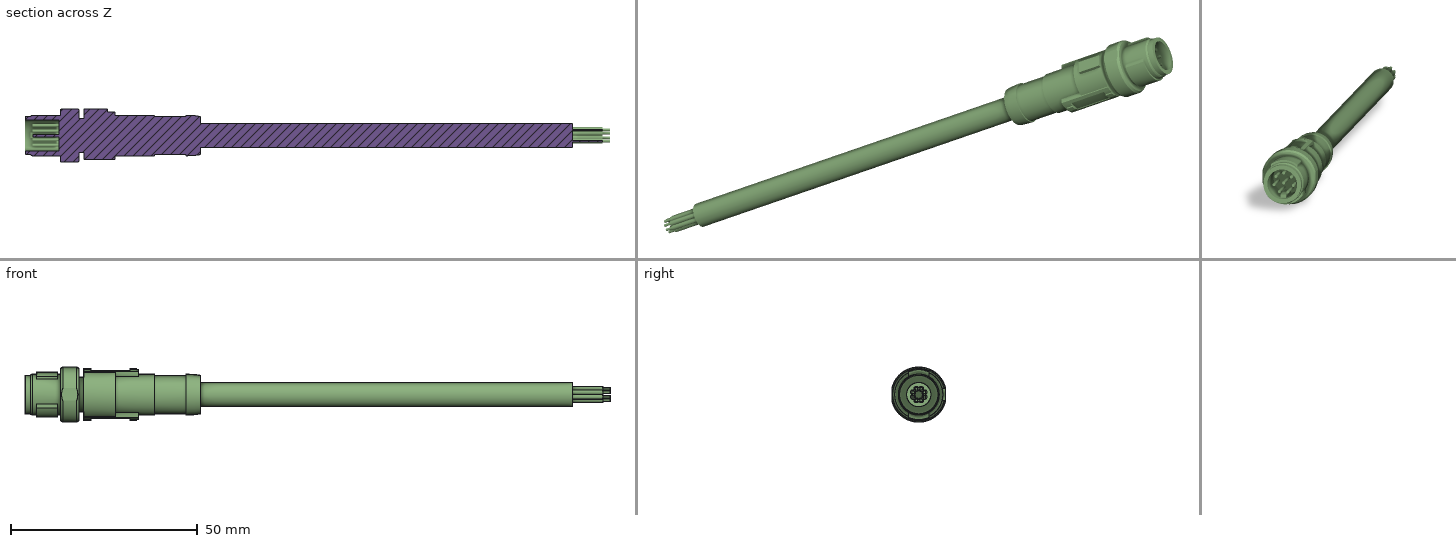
import cadquery as cq
import math


RIM_END = 1.5
PLUG_START = 2.0
COLLAR_START = 9.45
COLLAR_END = 14.45
SLEEVE_START = 15.7
SLEEVE_END = 24.2
BODY_END = 34.7
STRAIN_RING_START = 43.1
STRAIN_RING_END = 47.0
CABLE_END = 146.7
INSULATION_END = 154.75
CONDUCTOR_END = 156.8

RIM_RADIUS = 5.15
PLUG_CHAMFER_RADIUS = 5.3
PLUG_RADIUS = 5.5
COLLAR_RADIUS = 7.395
NECK_RADIUS = 4.65
SLEEVE_RADIUS = 6.45
BODY_RADIUS = 5.5
TAIL_RADIUS = 5.15
STRAIN_RING_RADIUS = 5.5
STRAIN_RING_CREST_RADIUS = 5.45
CABLE_RADIUS = 3.25

COLLAR_CHAMFER_LENGTH = 0.65
COLLAR_CHAMFER_HEIGHT = 0.4
COLLAR_FLAT_SPAN = 14.4

LUG_RADIUS = 6.05
LUG_START = 3.1
LUG_END = 8.7
TOP_LUG_HALF_WIDTH = 3.6
BOTTOM_LUG_HALF_WIDTH = 4.9

BORE_RADIUS = 4.05
BORE_DEPTH = 9.0
KEY_WIDTH = 1.5
KEY_INNER_RADIUS = 3.1
PIN_RADIUS = 0.4
PIN_TIP_X = 2.0
PIN_CIRCLE_RADIUS = 2.7
OUTER_PIN_COUNT = 7

LATCH_RADIUS = 6.7
LATCH_HALF_WIDTH = 2.7
LATCH_END = 30.4
POCKET_START = 17.6
POCKET_END = 28.1
POCKET_HALF_WIDTH = 1.75
POCKET_FLOOR = 6.2
BUMP_TOP = 7.0
BUMP_HALF_WIDTH = 0.75
FRONT_BUMP_END = POCKET_START
REAR_BUMP_END = 29.9

RAIL_TOP = 7.2
RAIL_END = 22.1
RAIL_HALF_WIDTH = 1.65

WIRE_COUNT = 8
WIRE_CIRCLE_RADIUS = 1.65
INSULATION_RADIUS = 0.66
CONDUCTOR_RADIUS = 0.35

OVERLAP = 0.5


def rod(start, end, radius, y=0.0, z=0.0):
    """Cylinder along X between two stations."""
    return cq.Workplane("YZ", origin=(start, y, z)).circle(radius).extrude(end - start)


def block(x_range, y_range, z_range):
    """Box given by its limits on each axis."""
    sizes = [high - low for low, high in (x_range, y_range, z_range)]
    corner = (x_range[0], y_range[0], z_range[0])
    return cq.Workplane("XY").box(*sizes, centered=False).translate(corner)


def turn_over(shape):
    """Copy of a top feature moved to the underside."""
    return shape.rotate((0, 0, 0), (1, 0, 0), 180)


def turned_body():
    shoulder = COLLAR_RADIUS - COLLAR_CHAMFER_HEIGHT
    front_outline = [
        (0, 0),
        (0, RIM_RADIUS),
        (RIM_END, RIM_RADIUS),
        (RIM_END, PLUG_CHAMFER_RADIUS),
        (PLUG_START, PLUG_RADIUS),
        (COLLAR_START, PLUG_RADIUS),
        (COLLAR_START, shoulder),
        (COLLAR_START + COLLAR_CHAMFER_LENGTH, COLLAR_RADIUS),
        (COLLAR_END - COLLAR_CHAMFER_LENGTH, COLLAR_RADIUS),
        (COLLAR_END, shoulder),
        (COLLAR_END, NECK_RADIUS),
        (SLEEVE_START, NECK_RADIUS),
        (SLEEVE_START, SLEEVE_RADIUS),
        (SLEEVE_END, SLEEVE_RADIUS),
        (SLEEVE_END, BODY_RADIUS),
        (BODY_END, BODY_RADIUS),
        (BODY_END, TAIL_RADIUS),
        (STRAIN_RING_START, TAIL_RADIUS),
        (STRAIN_RING_START, STRAIN_RING_RADIUS),
    ]
    ring_crest = ((STRAIN_RING_START + STRAIN_RING_END) / 2, STRAIN_RING_CREST_RADIUS)
    profile = (
        cq.Workplane("XY")
        .polyline(front_outline, includeCurrent=False)
        .threePointArc(ring_crest, (STRAIN_RING_END, TAIL_RADIUS))
        .lineTo(STRAIN_RING_END, CABLE_RADIUS)
        .lineTo(CABLE_END, CABLE_RADIUS)
        .lineTo(CABLE_END, 0)
        .close()
    )
    return profile.revolve(360, (0, 0, 0), (1, 0, 0))


def collar_flats():
    """Material outside the two side flats of the collar."""
    collar_x = (COLLAR_START, COLLAR_END)
    collar_z = (-COLLAR_RADIUS, COLLAR_RADIUS)
    half_span = COLLAR_FLAT_SPAN / 2
    side = block(collar_x, (half_span, COLLAR_RADIUS), collar_z)
    return side.union(turn_over(side))


def lug(half_width):
    """Arc-topped lug on the upper side of the plug."""
    envelope = block((LUG_START, LUG_END), (-half_width, half_width), (0, LUG_RADIUS))
    core = rod(LUG_START, LUG_END, PLUG_RADIUS - OVERLAP)
    return rod(LUG_START, LUG_END, LUG_RADIUS).intersect(envelope).cut(core)


def socket_key():
    key_z = (-(BORE_RADIUS + OVERLAP), -KEY_INNER_RADIUS)
    return block((RIM_END, BORE_DEPTH + OVERLAP), (-KEY_WIDTH / 2, KEY_WIDTH / 2), key_z)


def pins():
    root = BORE_DEPTH + OVERLAP
    group = rod(PIN_TIP_X, root, PIN_RADIUS)
    for index in range(OUTER_PIN_COUNT):
        angle = math.pi / 2 + 2 * math.pi * index / OUTER_PIN_COUNT
        y = PIN_CIRCLE_RADIUS * math.cos(angle)
        z = PIN_CIRCLE_RADIUS * math.sin(angle)
        group = group.union(rod(PIN_TIP_X, root, PIN_RADIUS, y, z))
    return group


def latch_key():
    """Upper latch key with its bumps, standing on the sleeve and body."""
    latch_x = (SLEEVE_START, LATCH_END)
    core = rod(SLEEVE_START, LATCH_END, BODY_RADIUS - OVERLAP)
    envelope = block(latch_x, (-LATCH_HALF_WIDTH, LATCH_HALF_WIDTH), (0, LATCH_RADIUS))
    key = rod(*latch_x, LATCH_RADIUS).intersect(envelope).cut(core)
    bump_y = (-BUMP_HALF_WIDTH, BUMP_HALF_WIDTH)
    bump_z = (BODY_RADIUS, BUMP_TOP)
    for bump_x in ((SLEEVE_START, FRONT_BUMP_END), (POCKET_END, REAR_BUMP_END)):
        key = key.union(block(bump_x, bump_y, bump_z))
    return key


def latch_pocket():
    pocket_y = (-POCKET_HALF_WIDTH, POCKET_HALF_WIDTH)
    return block((POCKET_START, POCKET_END), pocket_y, (POCKET_FLOOR, BUMP_TOP))


def side_rail():
    rail_y = (SLEEVE_RADIUS - OVERLAP, RAIL_TOP)
    return block((SLEEVE_START, RAIL_END), rail_y, (-RAIL_HALF_WIDTH, RAIL_HALF_WIDTH))


def wires():
    root = CABLE_END - OVERLAP
    bundle = None
    for index in range(WIRE_COUNT):
        angle = 2 * math.pi * (index + 0.5) / WIRE_COUNT
        y = WIRE_CIRCLE_RADIUS * math.cos(angle)
        z = WIRE_CIRCLE_RADIUS * math.sin(angle)
        wire = rod(root, INSULATION_END, INSULATION_RADIUS, y, z)
        wire = wire.union(rod(root, CONDUCTOR_END, CONDUCTOR_RADIUS, y, z))
        bundle = wire if bundle is None else bundle.union(wire)
    return bundle


result = turned_body().cut(collar_flats())
result = result.union(lug(TOP_LUG_HALF_WIDTH))
result = result.union(turn_over(lug(BOTTOM_LUG_HALF_WIDTH)))

result = result.cut(rod(0, BORE_DEPTH, BORE_RADIUS))
result = result.union(socket_key()).union(pins())

result = result.union(latch_key()).union(turn_over(latch_key()))
result = result.cut(latch_pocket()).cut(turn_over(latch_pocket()))
result = result.union(side_rail())
result = result.union(wires())